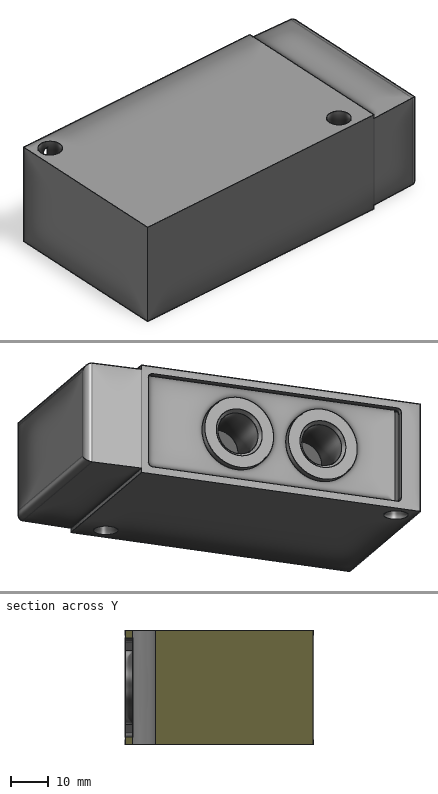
import cadquery as cq
import math

width = 50.0
block_length = 80.0
height = 30.4
mid_z = height / 2

cap_length = 16.0
cap_inset_z = 1.2
cap_draft_angle = 2.0
cap_edge_radius = 2.0
cap_height = height - 2 * cap_inset_z

mount_diameter = 6.5
mount_edge_distance = 5.0
mount_pitch_y = 67.0

recess_depth = 2.0
recess_margin = 2.0
recess_front_margin = 5.5
recess_corner_radius = 1.2
recess_length = block_length - recess_margin - recess_front_margin
recess_height = height - 2 * recess_margin

groove_width = 1.0
groove_depth = 0.5

port_pitch = 24.0
port_middle_y = block_length / 2
collar_diameter = 19.73
bore_diameter = 11.45
bore_depth = 15.0
bore_mouth_diameter = 13.157
bore_chamfer = (bore_mouth_diameter - bore_diameter) / 2

face_x = -width / 2
floor_x = face_x + recess_depth


def make_block():
    return cq.Workplane("XY").box(width, block_length, height, centered=(True, False, False))


def make_cap():
    """Cap whose sides lean inwards towards its rounded end."""
    tip_y = block_length + cap_length
    base_half = width / 2
    tip_half = base_half - cap_length * math.tan(math.radians(cap_draft_angle))
    outline = [
        (-base_half, block_length),
        (base_half, block_length),
        (tip_half, tip_y),
        (-tip_half, tip_y),
    ]
    cap = cq.Workplane("XY").workplane(offset=cap_inset_z).polyline(outline).close().extrude(cap_height)
    return cap.faces(">Y").edges().fillet(cap_edge_radius)


def make_mount_holes():
    offset_x = width / 2 - mount_edge_distance
    centres = [
        (-offset_x, mount_edge_distance),
        (offset_x, mount_edge_distance + mount_pitch_y),
    ]
    return cq.Workplane("XY").pushPoints(centres).circle(mount_diameter / 2).extrude(height)


def make_recess():
    """Shallow pocket with rounded corners and a narrow groove along the front end of its floor."""
    pocket = (
        cq.Workplane("XY")
        .box(recess_depth + groove_depth, recess_length, recess_height, centered=(False, False, True))
        .edges("|X")
        .fillet(recess_corner_radius)
        .translate((face_x, recess_front_margin, mid_z))
    )
    raised_floor = cq.Workplane("XY").box(
        groove_depth, recess_length - groove_width, recess_height, centered=(False, False, True)
    )
    floor_start_y = recess_front_margin + groove_width
    return pocket.cut(raised_floor.translate((floor_x, floor_start_y, mid_z)))


def make_collar(centre_y):
    """Round collar from the outer face down to the recess floor."""
    base = cq.Workplane("YZ", origin=(face_x, centre_y, mid_z))
    return base.circle(collar_diameter / 2).extrude(recess_depth)


def make_bore(centre_y):
    """Blind bore with a countersunk mouth."""
    bore_radius = bore_diameter / 2
    mouth_radius = bore_mouth_diameter / 2
    end_x = face_x + bore_depth
    half_section = [
        (face_x, 0),
        (face_x, mouth_radius),
        (face_x + bore_chamfer, bore_radius),
        (end_x, bore_radius),
        (end_x, 0),
    ]
    section = cq.Workplane("XY", origin=(0, centre_y, mid_z)).polyline(half_section).close()
    return section.revolve(360, (0, 0, 0), (1, 0, 0))


result = make_block().union(make_cap()).cut(make_mount_holes()).cut(make_recess())
for side in (-1, 1):
    port_y = port_middle_y + side * port_pitch / 2
    result = result.union(make_collar(port_y))
    result = result.cut(make_bore(port_y))